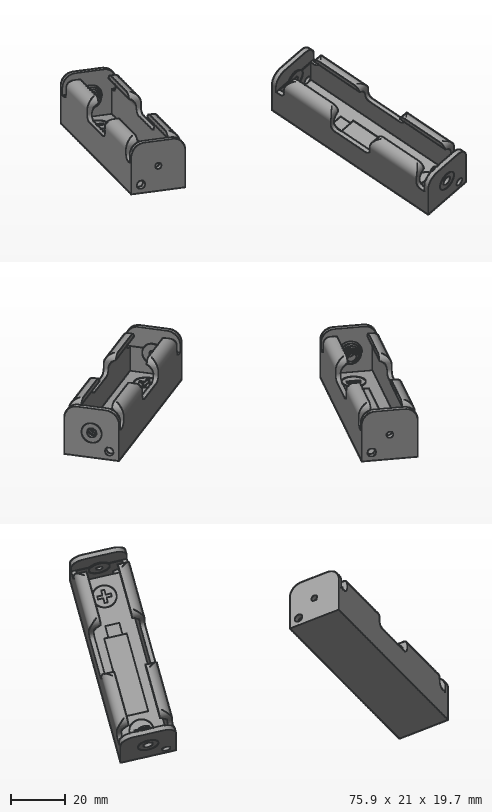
import cadquery as cq
import math

LENGTH = 75.9
WIDTH = 20.95
HEIGHT = 19.65
WALL = 1.8
END_WALL = 2.0
END_CORNER_R = 4.9
TAB_CORNER_R = 4.0
POSITIVE_WALL_X = LENGTH - END_WALL

RIM_Z = 11.7
TAB_LENGTH = 22.6
TAB_GAP = 19.0
TAB_END_R = 3.0
TAB_ROOT_R = 2.2
EDGE_MARGIN = 0.1

POSITIVE_STEP = 0.2
OPENING_WIDTH = 11.8
CAVITY_END = POSITIVE_WALL_X - POSITIVE_STEP
AXIS_Z = HEIGHT / 2

CONTACT_D = 8.0
CONTACT_HEIGHT = 0.45
CONTACT_HOLE_D = 2.4
SPRING_HOLE_D = 3.6
SPRING_RECESS_D = 7.75
SPRING_RECESS_DEPTH = 0.15
WIRE_HOLE_D = 3.2
WIRE_HOLE_Y = -6.75
WIRE_HOLE_Z = 3.35

MARK_DEPTH = 0.2
DISC_D = 8.9
NEGATIVE_X = 10.1
POSITIVE_X = 65.7
SIGN_LENGTH = 5.15
SIGN_WIDTH = 1.2
SYMBOL_X = 17.0
SYMBOL_LENGTH = 32.25
SYMBOL_WIDTH = 8.5
NOSE_LENGTH = 4.8
NOSE_WIDTH = 5.3
NOSE_DEPTH = MARK_DEPTH / 2

WIRE_D = 0.75
SPRING_BASE_D = 9.5
SPRING_TIP_D = 4.5
SPRING_LENGTH = 5.2
SPRING_TURNS = 4.5


def box(x_start, x_end, width, z_start, z_end):
    """Box centred on the XZ plane."""
    return cq.Workplane("XY").box(
        x_end - x_start, width, z_end - z_start, centered=(False, True, False)
    ).translate((x_start, 0, z_start))


def arched_bar(x_start, x_end, width, z_start, z_end, radius):
    """Bar along X whose two upper long edges are rounded."""
    return box(x_start, x_end, width, z_start, z_end).edges("|X and >Z").fillet(radius)


def x_cylinder(diameter, x_start, x_end, y=0.0, z=AXIS_Z):
    """Cylinder along X."""
    return cq.Workplane("YZ", origin=(x_start, y, z)).circle(diameter / 2).extrude(x_end - x_start)


def make_trough():
    """Side walls and floor, still filled, with the tab outline cut into the top."""
    outline = box(END_WALL, POSITIVE_WALL_X, WIDTH, 0, RIM_Z)
    middle = LENGTH / 2
    for start in (middle - TAB_GAP / 2 - TAB_LENGTH, middle + TAB_GAP / 2):
        outline = outline.union(box(start, start + TAB_LENGTH, WIDTH, 0, HEIGHT))
    outline = outline.edges("|Y and >Z").fillet(TAB_END_R)
    root_edges = cq.selectors.BoxSelector(
        (END_WALL + EDGE_MARGIN, -WIDTH, RIM_Z - EDGE_MARGIN),
        (POSITIVE_WALL_X - EDGE_MARGIN, WIDTH, RIM_Z + EDGE_MARGIN),
    )
    outline = outline.edges("|Y").edges(root_edges).fillet(TAB_ROOT_R)
    return outline.intersect(arched_bar(END_WALL, POSITIVE_WALL_X, WIDTH, 0, HEIGHT, TAB_CORNER_R))


def make_cavity():
    """Battery space, with the opening between the tabs."""
    chamber = arched_bar(
        END_WALL, CAVITY_END, WIDTH - 2 * WALL, WALL, HEIGHT - WALL, TAB_CORNER_R
    )
    opening = box(END_WALL, CAVITY_END, OPENING_WIDTH, HEIGHT / 2, HEIGHT)
    return chamber.union(opening)


def centred_bar(x, length, width):
    """One bar of a polarity sign, as high as the marks are deep."""
    return box(x - length / 2, x + length / 2, width, WALL - MARK_DEPTH, WALL)


def make_floor_marks():
    """Sunk discs around standing minus and plus signs, and a sunk battery symbol."""
    bottom = WALL - MARK_DEPTH
    minus_disc, plus_disc = (
        cq.Workplane("XY", origin=(x, 0, bottom)).circle(DISC_D / 2).extrude(MARK_DEPTH)
        .cut(centred_bar(x, SIGN_WIDTH, SIGN_LENGTH))
        for x in (NEGATIVE_X, POSITIVE_X)
    )
    plus_disc = plus_disc.cut(centred_bar(POSITIVE_X, SIGN_LENGTH, SIGN_WIDTH))
    symbol_end = SYMBOL_X + SYMBOL_LENGTH
    cell = box(SYMBOL_X, symbol_end, SYMBOL_WIDTH, bottom, WALL)
    nose = box(symbol_end, symbol_end + NOSE_LENGTH, NOSE_WIDTH, WALL - NOSE_DEPTH, WALL)
    return minus_disc.union(plus_disc).union(cell).union(nose)


def add_contact_pad(body):
    """Drilled round pad on the inside of the positive end wall."""
    pad_x = POSITIVE_WALL_X - CONTACT_HEIGHT
    pad = x_cylinder(CONTACT_D, pad_x, POSITIVE_WALL_X)
    return body.union(pad).cut(x_cylinder(CONTACT_HOLE_D, pad_x, LENGTH))


def add_spring_seat(body):
    """Hole through the negative end wall with a shallow recess outside."""
    hole = x_cylinder(SPRING_HOLE_D, 0, END_WALL)
    return body.cut(hole).cut(x_cylinder(SPRING_RECESS_D, 0, SPRING_RECESS_DEPTH))


def cut_wire_holes(body):
    for start, end in ((0, END_WALL), (CAVITY_END, LENGTH)):
        body = body.cut(x_cylinder(WIRE_HOLE_D, start, end, WIRE_HOLE_Y, WIRE_HOLE_Z))
    return body


def make_housing():
    """Trough between two end walls, hollowed out for the battery."""
    body = make_trough()
    for start in (0, POSITIVE_WALL_X):
        body = body.union(arched_bar(start, start + END_WALL, WIDTH, 0, HEIGHT, END_CORNER_R))
    body = body.cut(make_cavity()).cut(make_floor_marks())
    return cut_wire_holes(add_spring_seat(add_contact_pad(body)))


def make_spring():
    """Round wire wound on a cone that narrows away from the end wall."""
    base_r = (SPRING_BASE_D - WIRE_D) / 2
    tip_r = (SPRING_TIP_D - WIRE_D) / 2
    rise = SPRING_LENGTH - WIRE_D
    slant = math.hypot(rise, base_r - tip_r)
    taper = math.degrees(math.atan2(base_r - tip_r, rise))
    path = cq.Wire.makeHelix(
        slant / SPRING_TURNS, slant, base_r,
        center=cq.Vector(END_WALL + WIRE_D / 2, 0, AXIS_Z), dir=cq.Vector(1, 0, 0), angle=-taper,
    )
    start = cq.Plane(origin=path.startPoint(), normal=path.tangentAt(0))
    coil = cq.Workplane(start).circle(WIRE_D / 2).sweep(cq.Workplane(path), isFrenet=True)
    return coil.rotate((0, 0, AXIS_Z), (1, 0, AXIS_Z), -90)


housing = make_housing()
spring = make_spring()
result = cq.Compound.makeCompound([housing.val(), spring.val()])